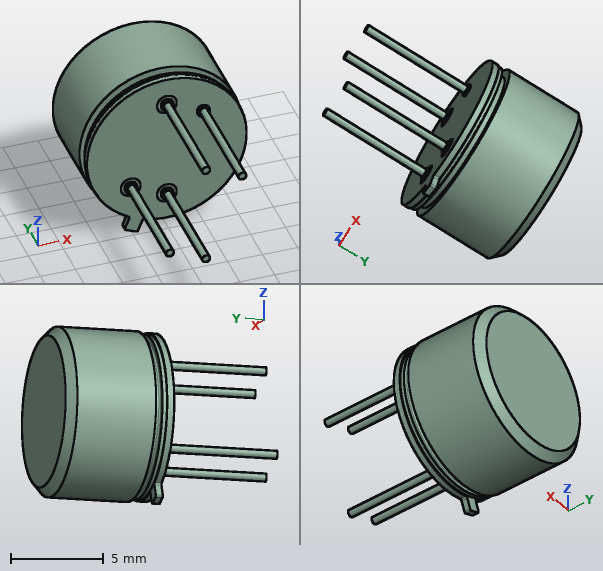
import cadquery as cq
import math


overall_length = 12.5

cap_diameter = 9.26
cap_radius = cap_diameter / 2
cap_chamfer = 0.51
neck_radius = 4.14
lip_radius = 4.5
cap_end_y = 6.0
can_bottom_y = 1.05
lip_top_y = 0.65
neck_fillet = 0.1

plate_radius = 4.56
plate_thickness = 0.4
tab_angle = 22.5
tab_reach = 5.38
tab_width = 0.81
tab_corner_radius = 0.1
tab_root_radius = 0.1

pin_circle_radius = 2.92
pin_diameter = 0.45
pin_tip_y = cap_end_y - overall_length
collar_diameter = 0.7
collar_height = 0.12
seal_diameter = 1.12
sealed_pin_angles = [90, 225, 270]
grounded_pin_angle = 45


def pin_position(angle):
    """X and Z of the pin at this angle on the pin circle."""
    angle_radians = math.radians(angle)
    return pin_circle_radius * math.cos(angle_radians), pin_circle_radius * math.sin(angle_radians)


def cylinder(diameter, start_y, end_y, position=(0, 0)):
    """Cylinder along Y, centred on the given X and Z."""
    x, z = position
    return (
        cq.Workplane("XZ", origin=(x, start_y, z))
        .circle(diameter / 2)
        .extrude(start_y - end_y)
    )


def make_cap():
    """Can, neck and lip revolved about Y, resting on the plate."""
    return (
        cq.Workplane("XY")
        .moveTo(0, plate_thickness)
        .lineTo(lip_radius, plate_thickness)
        .lineTo(lip_radius, lip_top_y)
        .lineTo(neck_radius + neck_fillet, lip_top_y)
        .radiusArc((neck_radius, lip_top_y + neck_fillet), neck_fillet)
        .lineTo(neck_radius, can_bottom_y)
        .lineTo(cap_radius, can_bottom_y)
        .lineTo(cap_radius, cap_end_y - cap_chamfer)
        .lineTo(cap_radius - cap_chamfer, cap_end_y)
        .lineTo(0, cap_end_y)
        .close()
        .revolve(360, (0, 0, 0), (0, 1, 0))
    )


def make_header():
    """Round plate with a rounded tab, bored for the seals and the grounded pin."""
    tab = (
        cq.Workplane("XY")
        .box(tab_width, plate_thickness, tab_reach, centered=(True, False, False))
        .translate((0, 0, -tab_reach))
        .edges("|Y and <Z")
        .fillet(tab_corner_radius)
    )
    plate = cylinder(2 * plate_radius, 0, plate_thickness).union(tab)

    half_width = tab_width / 2
    root_z = -math.sqrt(plate_radius**2 - half_width**2)
    for side in (-1, 1):
        root = (side * half_width, plate_thickness / 2, root_z)
        plate = plate.edges(cq.NearestToPointSelector(root)).fillet(tab_root_radius)

    plate = plate.rotate((0, 0, 0), (0, 1, 0), tab_angle)
    for angle in sealed_pin_angles:
        plate = plate.cut(cylinder(seal_diameter, 0, plate_thickness, pin_position(angle)))
    return plate.cut(cylinder(pin_diameter, 0, plate_thickness, pin_position(grounded_pin_angle)))


def make_seal(angle):
    """Glass ring filling the plate bore around a pin."""
    position = pin_position(angle)
    bore = cylinder(pin_diameter, 0, plate_thickness, position)
    return cylinder(seal_diameter, 0, plate_thickness, position).cut(bore)


def make_pin(angle):
    """Pin through the plate, with a collar against the outer face."""
    position = pin_position(angle)
    collar = cylinder(collar_diameter, -collar_height, 0, position)
    return cylinder(pin_diameter, pin_tip_y, plate_thickness, position).union(collar)


cap = make_cap()
header = make_header()
seals = [make_seal(angle) for angle in sealed_pin_angles]
pins = [make_pin(angle) for angle in sealed_pin_angles + [grounded_pin_angle]]

result = cq.Compound.makeCompound(
    [cap.val(), header.val()]
    + [seal.val() for seal in seals]
    + [pin.val() for pin in pins]
)